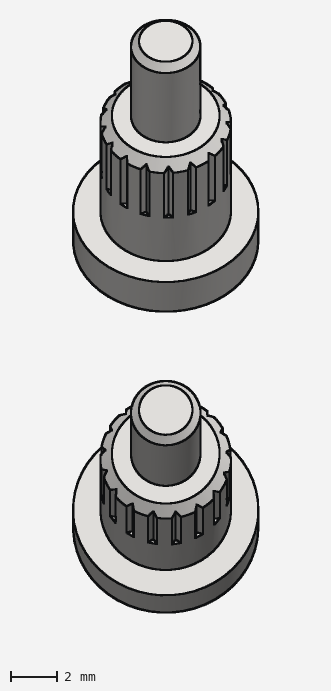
import cadquery as cq

total_height = 13.4
head_diameter = 8.0
head_height = 2.0
shank_diameter = 5.64
shank_top = 8.4
shank_chamfer = 0.5
pin_diameter = 3.0
pin_chamfer = 0.35

groove_count = 17
groove_depth = 0.2
groove_bottom = 4.92
groove_clearance = 0.13

shank_radius = shank_diameter / 2


def stepped_body():
    """Head, shank and pin stacked on the Z axis, with chamfered top edges."""
    head = cq.Workplane("XY").circle(head_diameter / 2).extrude(head_height)
    shank = (
        cq.Workplane("XY")
        .circle(shank_radius)
        .extrude(shank_top)
        .faces(">Z")
        .chamfer(shank_chamfer)
    )
    pin = (
        cq.Workplane("XY")
        .circle(pin_diameter / 2)
        .extrude(total_height)
        .faces(">Z")
        .chamfer(pin_chamfer)
    )
    return head.union(shank).union(pin)


def knurl_cutters():
    """Triangular prisms around the shank, the first one centred on +Y."""
    root_radius = shank_radius - groove_depth
    mouth_radius = shank_radius + groove_clearance
    half_mouth = mouth_radius - root_radius
    cutter = (
        cq.Workplane("XY")
        .workplane(offset=groove_bottom)
        .moveTo(0, root_radius)
        .lineTo(half_mouth, mouth_radius)
        .lineTo(-half_mouth, mouth_radius)
        .close()
        .extrude(shank_top - groove_bottom)
    )
    cutters = cq.Workplane("XY")
    for index in range(groove_count):
        angle = index * 360 / groove_count
        cutters = cutters.add(cutter.rotate((0, 0, 0), (0, 0, 1), angle))
    return cutters.combine()


result = stepped_body().cut(knurl_cutters())